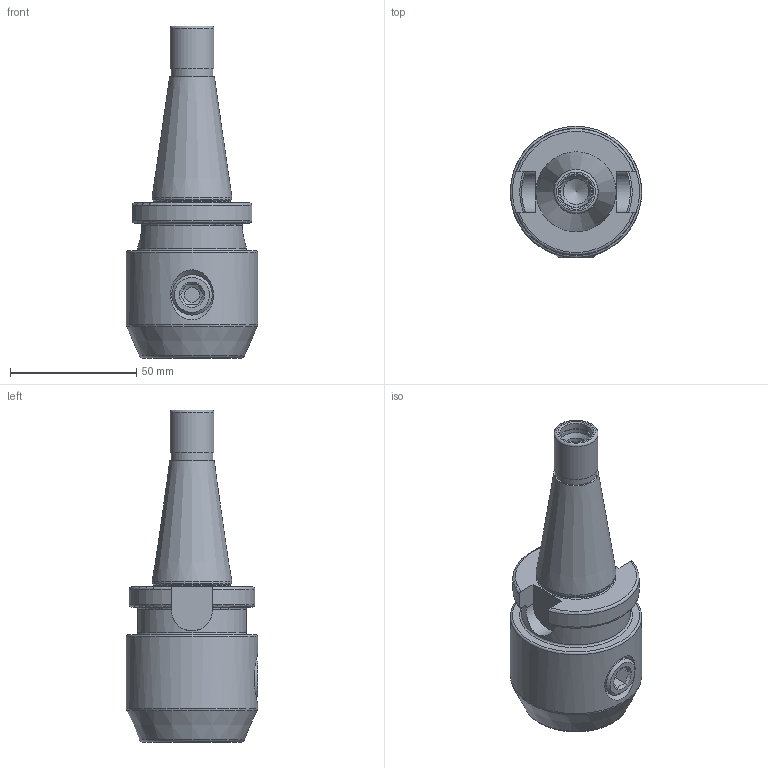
import cadquery as cq
import math


gauge_radius = 31.75 / 2
taper_rate = 7 / 24
taper_length = 48.4
shank_top = 68.4
pilot_radius = 17.4 / 2
pilot_bottom = shank_top - 17
pilot_groove_radius = 16.5 / 2
pilot_edge_fillet = 1.0
taper_top_radius = gauge_radius - taper_rate * taper_length / 2

land_top = 0.4
land_height = 0.8
land_radius = gauge_radius - taper_rate * land_top / 2
land_bottom = land_top - land_height
relief_depth = 0.4
relief_radius = land_radius - relief_depth

flange_radius = 50 / 2
flange_top = -1.6
flange_bottom = flange_top - 8
flange_edge_fillet = 1.0
relief_foot_fillet = 0.4
neck_radius = 43 / 2
neck_fillet = 0.8

body_radius = 52 / 2
body_top = -20.5
body_bottom = -63
body_edge_fillet = 0.8
nose_top = -50.2
nose_end_radius = 20.4
nose_edge_fillet = 1.5
nose_shoulder_fillet = 2.0

slot_width = 16.1
slot_floor_x = 16
slot_bottom = -19

counterbore_radius = 13 / 2
counterbore_depth = 3.1
step_radius = counterbore_radius - 0.3
step_bottom_depth = 4.8
counterbore_chamfer = 0.5
tap_hole_radius = 10.2 / 2
tap_hole_depth = 30
centre_cone_half_angle = 30
drill_point_half_angle = 59

screw_z = body_bottom + 25
screw_radius = 16 / 2
screw_chamfer = 1.1
sink_mouth_radius = 9.9
screw_length = 13
hex_across_flats = 8
hex_depth = 6
hex_mouth_radius = 5
hex_floor_radius = 3


def height_of_cone(large_radius, small_radius, half_angle):
    return (large_radius - small_radius) / math.tan(math.radians(half_angle))


def cone_along(radius_start, radius_end, start, length, direction):
    return cq.Workplane(cq.Solid.makeCone(radius_start, radius_end, length, start, direction))


def fillet_circles(solid, radius, circles):
    """Round the circular edges given as (radius, z) pairs, centred on the Z axis."""
    reach = 0.01
    for edge_radius, z in circles:
        outer = cq.Vector(edge_radius, edge_radius, z)
        selector = cq.selectors.BoxSelector(
            (-outer.x - reach, -outer.y - reach, z - reach),
            (outer.x + reach, outer.y + reach, z + reach),
            boundingbox=True,
        )
        ring = solid.edges(selector).edges(cq.selectors.RadiusNthSelector(-1))
        solid = ring.fillet(radius)
    return solid


def make_turned_body():
    profile = [
        (0, body_bottom),
        (nose_end_radius, body_bottom),
        (body_radius, nose_top),
        (body_radius, body_top),
        (neck_radius, body_top),
        (neck_radius, flange_bottom),
        (flange_radius, flange_bottom),
        (flange_radius, flange_top),
        (relief_radius, flange_top),
        (relief_radius, land_bottom - relief_depth),
        (land_radius, land_bottom),
        (land_radius, land_top),
        (taper_top_radius, taper_length),
        (pilot_groove_radius, taper_length),
        (pilot_groove_radius, pilot_bottom),
        (pilot_radius, pilot_bottom),
        (pilot_radius, shank_top),
        (0, shank_top),
    ]
    body = cq.Workplane("XZ").polyline(profile).close().revolve(360, (0, 0), (0, 1))
    body = fillet_circles(body, pilot_edge_fillet, [(pilot_radius, shank_top)])
    body = fillet_circles(
        body, flange_edge_fillet, [(flange_radius, flange_top), (flange_radius, flange_bottom)]
    )
    body = fillet_circles(body, body_edge_fillet, [(body_radius, body_top)])
    body = fillet_circles(body, relief_foot_fillet, [(relief_radius, flange_top)])
    body = fillet_circles(body, nose_shoulder_fillet, [(body_radius, nose_top)])
    body = fillet_circles(body, nose_edge_fillet, [(nose_end_radius, body_bottom)])
    return fillet_circles(body, neck_fillet, [(neck_radius, flange_bottom), (neck_radius, body_top)])


def make_drive_slot(side):
    """Round-bottomed slot through the flange and into the neck; side is +1 or -1 along X."""
    half_width = slot_width / 2
    arc_z = slot_bottom + half_width
    depth = body_radius - slot_floor_x
    outline = (
        cq.Workplane("YZ", origin=(slot_floor_x, 0, 0))
        .moveTo(-half_width, flange_top)
        .lineTo(-half_width, arc_z)
        .threePointArc((0, slot_bottom), (half_width, arc_z))
        .lineTo(half_width, flange_top)
        .close()
        .extrude(depth)
    )
    return outline if side > 0 else outline.mirror("YZ")


def make_centre_hole():
    step_top = shank_top - counterbore_depth
    cone_top = shank_top - step_bottom_depth
    cone_bottom = cone_top - height_of_cone(step_radius, tap_hole_radius, centre_cone_half_angle)
    hole_bottom = shank_top - tap_hole_depth
    point_bottom = hole_bottom - height_of_cone(tap_hole_radius, 0, drill_point_half_angle)
    profile = [
        (0, shank_top),
        (counterbore_radius + counterbore_chamfer, shank_top),
        (counterbore_radius, shank_top - counterbore_chamfer),
        (counterbore_radius, step_top),
        (step_radius, step_top),
        (step_radius, cone_top),
        (tap_hole_radius, cone_bottom),
        (tap_hole_radius, hole_bottom),
        (0, point_bottom),
    ]
    return cq.Workplane("XZ").polyline(profile).close().revolve(360, (0, 0), (0, 1))


def make_screw_sink():
    """45 degree countersink around the screw, ending at the screw's own diameter."""
    mouth = cq.Vector(0, -body_radius, screw_z)
    return cone_along(
        sink_mouth_radius, screw_radius, mouth, sink_mouth_radius - screw_radius, cq.Vector(0, 1, 0)
    )


def make_screw():
    """Set screw whose chamfered end face is level with the outermost line of the body."""
    screw = (
        cq.Workplane("XZ", origin=(0, -body_radius, screw_z))
        .circle(screw_radius)
        .extrude(-screw_length)
        .faces("<Y")
        .chamfer(screw_chamfer)
    )
    return screw.cut(make_hex_socket())


def make_hex_socket():
    """Hexagon socket with a chamfered mouth and a floor that tapers to a small flat."""
    inward = cq.Vector(0, 1, 0)
    face_centre = cq.Vector(0, -body_radius, screw_z)
    corner_radius = hex_across_flats / math.sqrt(3)
    floor_height = height_of_cone(corner_radius, hex_floor_radius, drill_point_half_angle)
    prism = (
        cq.Workplane("XZ", origin=face_centre.toTuple())
        .polygon(6, 2 * corner_radius)
        .extrude(-hex_depth - floor_height)
    )
    floor_start = face_centre + inward * hex_depth
    floor_cone = cone_along(corner_radius, hex_floor_radius, floor_start, floor_height, inward)
    straight_core = cq.Workplane(cq.Solid.makeCylinder(corner_radius, hex_depth, face_centre, inward))
    socket = prism.intersect(straight_core.union(floor_cone))
    mouth = cone_along(hex_mouth_radius, 0, face_centre, hex_mouth_radius, inward)
    return socket.union(mouth)


def make_screw_pocket():
    """Screw hole together with its countersink."""
    hole = cq.Workplane("XZ", origin=(0, -body_radius, screw_z)).circle(screw_radius).extrude(-screw_length)
    return hole.union(make_screw_sink())


result = make_turned_body()
for slot_side in (-1, 1):
    result = result.cut(make_drive_slot(slot_side))
result = result.cut(make_centre_hole())
result = result.cut(make_screw_pocket()).union(make_screw())